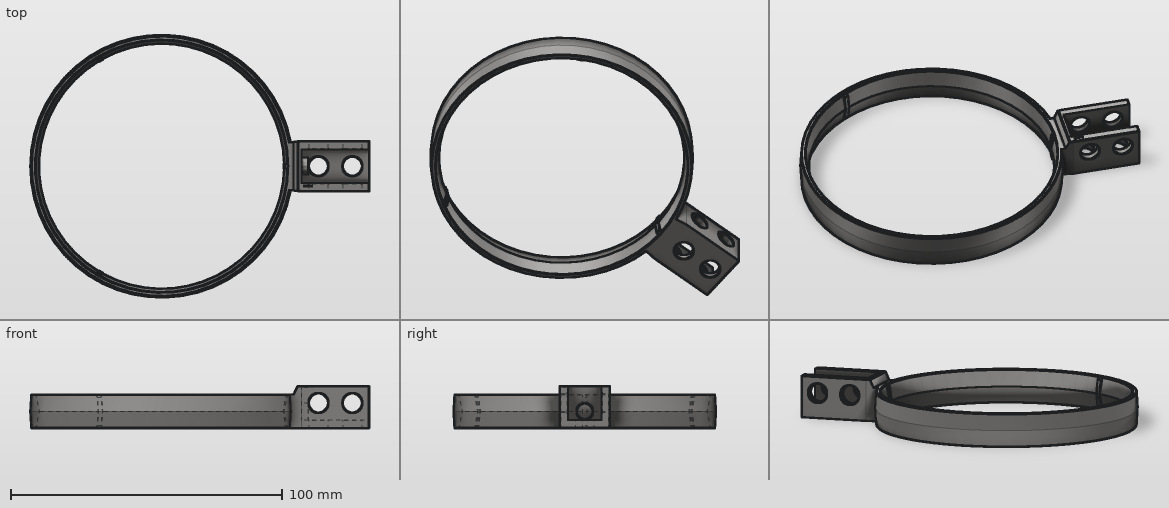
import cadquery as cq

full_turn = 360

overall_length = 125.0
ring_diameter = 96.9
ring_height = 12.5
bracket_height = 15.6
bracket_width = 18.8

outer_taper = 0.4
rim_width = 1.6
inner_radius = 45.1
ring_radius = ring_diameter / 2
rim_outer_radius = ring_radius - outer_taper
rim_inner_radius = rim_outer_radius - rim_width

edge_bevel = 0.2
bevel_angle = 45

rib_count = 3
rib_width = 1.8
rib_inner_radius = 44.9
rib_end_depth = 0.9

bracket_end = overall_length - ring_radius
channel_width = 12.5
floor_thickness = 3.1
channel_start = 51.5
neck_start = 46.9
neck_width = 17.5
slope_start = 48.6
slope_end = 50.1

hole_diameter = 7.0
hole_count = 2
hole_spacing = 12.5
hole_end_distance = 6.2
wall_hole_height = 9.4

stud_diameter = 6.2
stud_length = 2.6
stud_height = 6.2

slit_length = 3.0
slit_width = 0.4
slit_depth = 0.6
slit_start = 52.5
slit_y = -7.4


def make_ring():
    profile = [
        (rim_outer_radius, 0),
        (ring_radius, ring_height / 2),
        (rim_outer_radius, ring_height),
        (rim_inner_radius, ring_height),
        (inner_radius, ring_height / 2),
        (rim_inner_radius, 0),
    ]
    ring = cq.Workplane("XZ").polyline(profile).close().revolve(full_turn, (0, 0), (0, 1))
    return ring.faces("<Z or >Z").chamfer(edge_bevel)


def make_ribs():
    rib_bottom = edge_bevel
    rib_top = ring_height - edge_bevel
    knee_radius = rim_inner_radius - rib_end_depth
    wall_radius = (rim_inner_radius + rim_outer_radius) / 2
    profile = [
        (wall_radius, rib_bottom),
        (rim_inner_radius, rib_bottom),
        (knee_radius, rib_bottom + rib_end_depth),
        (rib_inner_radius, ring_height / 2),
        (knee_radius, rib_top - rib_end_depth),
        (rim_inner_radius, rib_top),
        (wall_radius, rib_top),
    ]
    rib = cq.Workplane("XZ").polyline(profile).close().extrude(rib_width / 2, both=True)
    ribs = cq.Workplane("XY")
    for index in range(rib_count):
        ribs = ribs.add(rib.rotate((0, 0, 0), (0, 0, 1), index * full_turn / rib_count))
    return ribs.combine()


def make_bracket_block():
    plan = [
        (neck_start, -neck_width / 2),
        (channel_start, -bracket_width / 2),
        (bracket_end, -bracket_width / 2),
        (bracket_end, bracket_width / 2),
        (channel_start, bracket_width / 2),
        (neck_start, neck_width / 2),
    ]
    side = [
        (neck_start, 0),
        (bracket_end, 0),
        (bracket_end, bracket_height),
        (slope_end, bracket_height),
        (slope_start, ring_height),
        (neck_start, ring_height),
    ]
    block = cq.Workplane("XY").polyline(plan).close().extrude(bracket_height)
    side_limits = cq.Workplane("XZ").polyline(side).close().extrude(bracket_width / 2, both=True)
    block = block.intersect(side_limits)
    return block.faces(">X or >Z").chamfer(edge_bevel)


def make_channel():
    return cq.Workplane("XY").box(
        bracket_end - channel_start,
        channel_width,
        bracket_height - floor_thickness,
        centered=(False, True, False),
    ).translate((channel_start, 0, floor_thickness))


def make_stud():
    plane = cq.Workplane("YZ", origin=(channel_start, 0, stud_height))
    return plane.circle(stud_diameter / 2).extrude(stud_length).faces(">X").chamfer(edge_bevel)


def bevelled_hole(plane, thickness):
    hole = plane.circle(hole_diameter / 2).extrude(thickness)
    rim_radius = hole_diameter / 2 + edge_bevel
    straight_height = thickness - edge_bevel
    rim = plane.circle(rim_radius).extrude(edge_bevel, taper=bevel_angle)
    far_rim = (
        plane.workplane(offset=straight_height)
        .circle(hole_diameter / 2)
        .extrude(edge_bevel, taper=-bevel_angle)
    )
    return hole.union(rim).union(far_rim)


def make_holes():
    wall_thickness = (bracket_width - channel_width) / 2
    holes = cq.Workplane("XY")
    for index in range(hole_count):
        x = bracket_end - hole_end_distance - index * hole_spacing
        floor_plane = cq.Workplane("XY", origin=(x, 0, 0))
        holes = holes.add(bevelled_hole(floor_plane, floor_thickness))
        for start_y in (-channel_width / 2, bracket_width / 2):
            wall_plane = cq.Workplane("XZ", origin=(x, start_y, wall_hole_height))
            holes = holes.add(bevelled_hole(wall_plane, wall_thickness))
    return holes.combine()


def make_slit():
    return cq.Workplane("XY").box(
        slit_length, slit_width, slit_depth, centered=(False, True, False)
    ).translate((slit_start, slit_y, bracket_height - slit_depth))


bracket = make_bracket_block().cut(make_channel()).cut(make_holes()).cut(make_slit())
result = make_ring().union(make_ribs()).union(bracket).union(make_stud())